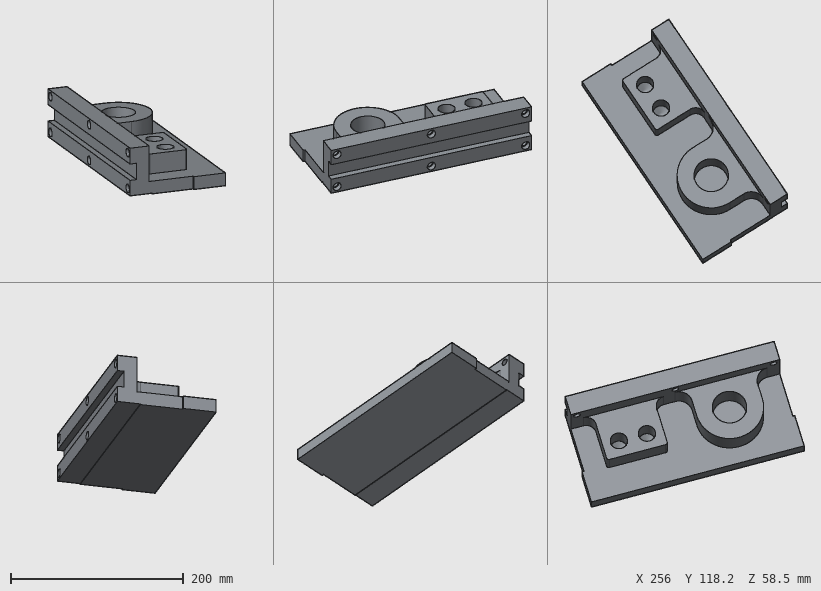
import cadquery as cq
import math

LENGTH = 256.0
DEPTH = 118.2
HEIGHT = 58.5

SIDE_STEP = 2.3
WIDE_START_Y = 78.5
BASE_TOP = 15.5
FRONT_RELIEF_HEIGHT = 0.8
FRONT_RELIEF_DEPTH = 27.6
NARROW_LENGTH = LENGTH - 2 * SIDE_STEP

WALL_THICKNESS = 23.8
GROOVE_BOTTOM = 19.7
GROOVE_TOP = 39.5
GROOVE_DEPTH = 8.0

ROUND_TOP = 43.5
ROUND_HEIGHT = ROUND_TOP - BASE_TOP
ROUND_X = 73.0
ROUND_Y = 59.0
ROUND_RADIUS = 39.5
ROUND_BORE_DIAMETER = 39.7
ROUND_FILLET = 15.9

BLOCK_TOP = 39.7
BLOCK_HEIGHT = BLOCK_TOP - BASE_TOP
BLOCK_LEFT = 153.8
BLOCK_RIGHT = 226.7
BLOCK_BACK = 82.5
BLOCK_CORNER_RADIUS = 2.5
BLOCK_FILLET = 11.8
BLOCK_HOLE_DIAMETER = 19.7
BLOCK_HOLE_PITCH = 33.8
BLOCK_HOLE_Y = 63.0

SCREW_PITCH = 118.2
SCREW_LOW_Z = 8.0
SCREW_HIGH_Z = 51.2
SCREW_DIAMETER = 8.0
SCREW_HEAD_DIAMETER = 10.0
SCREW_HEAD_DEPTH = 7.0
SCREW_BLIND_DEPTH = WALL_THICKNESS

DRILL_POINT_ANGLE = 118.0


def drill(point, direction, diameter, depth):
    """Blind hole tool with a conical drill point beyond its full-diameter depth."""
    radius = diameter / 2
    tip_length = radius / math.tan(math.radians(DRILL_POINT_ANGLE / 2))
    start = cq.Vector(*point)
    axis = cq.Vector(*direction)
    barrel = cq.Solid.makeCylinder(radius, depth, start, axis)
    tip = cq.Solid.makeCone(radius, 0, tip_length, start + axis * depth, axis)
    return cq.Workplane(barrel).union(cq.Workplane(tip))


def make_body():
    """L-shaped section with the grooved wall, plus the wider rear of the base."""
    profile = [
        (0, FRONT_RELIEF_HEIGHT),
        (FRONT_RELIEF_DEPTH, FRONT_RELIEF_HEIGHT),
        (FRONT_RELIEF_DEPTH, 0),
        (DEPTH, 0),
        (DEPTH, BASE_TOP),
        (WALL_THICKNESS, BASE_TOP),
        (WALL_THICKNESS, HEIGHT),
        (0, HEIGHT),
        (0, GROOVE_TOP),
        (GROOVE_DEPTH, GROOVE_TOP),
        (GROOVE_DEPTH, GROOVE_BOTTOM),
        (0, GROOVE_BOTTOM),
    ]
    narrow = cq.Workplane("YZ", origin=(SIDE_STEP, 0, 0)).polyline(profile).close().extrude(NARROW_LENGTH)
    wide = cq.Workplane("XY").box(LENGTH, DEPTH - WIDE_START_Y, BASE_TOP, centered=False)
    return narrow.union(wide.translate((0, WIDE_START_Y, 0)))


def boss_start(left, fillet):
    """Start a boss outline at the wall and blend into its left side."""
    return (
        cq.Workplane("XY", origin=(0, 0, BASE_TOP))
        .moveTo(left - fillet, WALL_THICKNESS)
        .radiusArc((left, WALL_THICKNESS + fillet), -fillet)
    )


def make_round_boss():
    left = ROUND_X - ROUND_RADIUS
    right = ROUND_X + ROUND_RADIUS
    return (
        boss_start(left, ROUND_FILLET)
        .lineTo(left, ROUND_Y)
        .threePointArc((ROUND_X, ROUND_Y + ROUND_RADIUS), (right, ROUND_Y))
        .lineTo(right, WALL_THICKNESS + ROUND_FILLET)
        .radiusArc((right + ROUND_FILLET, WALL_THICKNESS), -ROUND_FILLET)
        .close()
        .extrude(ROUND_HEIGHT)
        .cut(
            cq.Workplane("XY", origin=(ROUND_X, ROUND_Y, BASE_TOP))
            .circle(ROUND_BORE_DIAMETER / 2)
            .extrude(ROUND_HEIGHT)
        )
    )


def make_block_boss():
    block = (
        boss_start(BLOCK_LEFT, BLOCK_FILLET)
        .lineTo(BLOCK_LEFT, BLOCK_BACK)
        .lineTo(BLOCK_RIGHT, BLOCK_BACK)
        .lineTo(BLOCK_RIGHT, WALL_THICKNESS + BLOCK_FILLET)
        .radiusArc((BLOCK_RIGHT + BLOCK_FILLET, WALL_THICKNESS), -BLOCK_FILLET)
        .close()
        .extrude(BLOCK_HEIGHT)
    )
    return block.edges("|Z and >Y").fillet(BLOCK_CORNER_RADIUS)


def cut_block_holes(part):
    center_x = (BLOCK_LEFT + BLOCK_RIGHT) / 2
    for side in (-1, 1):
        x = center_x + side * BLOCK_HOLE_PITCH / 2
        top = (x, BLOCK_HOLE_Y, BLOCK_TOP)
        part = part.cut(drill(top, (0, 0, -1), BLOCK_HOLE_DIAMETER, BLOCK_HEIGHT))
    return part


def cut_screw_holes(part):
    """Upper holes pass through the wall; lower holes end blind in the base."""
    inward = cq.Vector(0, 1, 0)
    for column in (-1, 0, 1):
        x = LENGTH / 2 + column * SCREW_PITCH
        for z in (SCREW_LOW_Z, SCREW_HIGH_Z):
            head = cq.Solid.makeCylinder(SCREW_HEAD_DIAMETER / 2, SCREW_HEAD_DEPTH, cq.Vector(x, 0, z), inward)
            part = part.cut(cq.Workplane(head))
        low = drill((x, 0, SCREW_LOW_Z), (0, 1, 0), SCREW_DIAMETER, SCREW_BLIND_DEPTH)
        high = cq.Solid.makeCylinder(SCREW_DIAMETER / 2, WALL_THICKNESS, cq.Vector(x, 0, SCREW_HIGH_Z), inward)
        part = part.cut(low).cut(cq.Workplane(high))
    return part


body = make_body().union(make_round_boss()).union(make_block_boss())
result = cut_screw_holes(cut_block_holes(body))